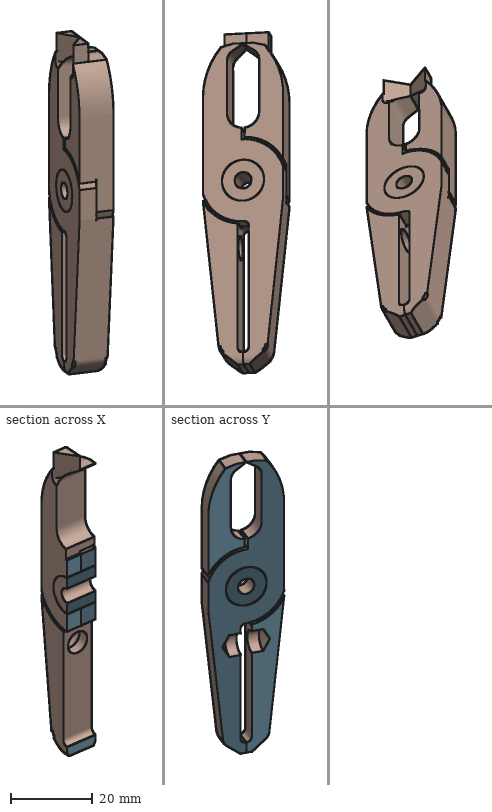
import cadquery as cq
import math


thickness = 9.0
width = 20.0
length = 86.0
half_width = width / 2
jaw_end_z = 39.05
handle_end_z = jaw_end_z - length

hub_radius = 10.5
recess_radius = 11.1
pin_radius = 5.25
pin_hole_radius = 2.1

jaw_arc_start_z = 21.7
jaw_arc_radius = width
tip_half_width = 5.5
jaw_slot_width = 8.0
jaw_slot_radius = jaw_slot_width / 2
jaw_slot_low_z = 17.5
jaw_roof_corner_z = 32.3
jaw_roof_apex_z = 34.9
jaw_roof_fillet_radius = 3.0
jaw_gap = 0.8

step_y = -0.35
step_top_z = 35.1
step_flat_half_width = 2.5

groove_half_width = 5.8
groove_bottom_y = -0.4
groove_end_z = 32.0

taper_start_z = -4.8
corner_x = 6.0
corner_z = -43.35
corner_radius = 2.6
corner_chamfer = 0.5
end_half_width = 1.55
end_round_radius = 2.6
end_round_height = 1.7
handle_slot_width = 2.8
handle_slot_radius = handle_slot_width / 2
handle_slot_end_z = -42.6
hub_fillet_radius = 1.2

spring_hole_radius = 3.0
spring_hole_z = -16.0
spring_hole_depth = 3.0
spring_hole_tip_depth = 1.7

front_y = -thickness / 2
back_y = thickness / 2
tool_margin = 0.9
jaw_arc_end_z = jaw_arc_start_z + math.sqrt(
    jaw_arc_radius**2 - (jaw_arc_radius - half_width + tip_half_width) ** 2
)


def plate(sketch, y_start, y_end):
    """Extrude an XZ outline from y_start to y_end."""
    return sketch.extrude(y_start - y_end).translate((0, y_start, 0))


def outline():
    return cq.Workplane("XZ")


def disc(radius, y_start, y_end):
    return plate(outline().circle(radius), y_start, y_end)


def left_jaw():
    """Full-thickness jaw on the -X side, with half of the jaw slot along its inner edge."""
    arc_centre_x = jaw_arc_radius - half_width
    mid_angle = math.asin((jaw_arc_end_z - jaw_arc_start_z) / jaw_arc_radius) / 2
    arc_mid = (
        arc_centre_x - jaw_arc_radius * math.cos(mid_angle),
        jaw_arc_start_z + jaw_arc_radius * math.sin(mid_angle),
    )
    slot_diagonal = jaw_slot_radius * math.sqrt(0.5)
    gap_x = -jaw_gap / 2
    slot_gap_z = jaw_slot_low_z - math.sqrt(jaw_slot_radius**2 - gap_x**2)
    sketch = (
        outline()
        .moveTo(-half_width, 0)
        .lineTo(-half_width, jaw_arc_start_z)
        .threePointArc(arc_mid, (-tip_half_width, jaw_arc_end_z))
        .lineTo(-tip_half_width, jaw_end_z)
        .lineTo(0, jaw_end_z)
        .lineTo(0, jaw_roof_apex_z)
        .lineTo(-jaw_slot_radius, jaw_roof_corner_z)
        .lineTo(-jaw_slot_radius, jaw_slot_low_z)
        .threePointArc(
            (-slot_diagonal, jaw_slot_low_z - slot_diagonal),
            (gap_x, slot_gap_z),
        )
        .lineTo(gap_x, 0)
        .close()
    )
    roof_corner = cq.NearestToPointSelector((-jaw_slot_radius, 0, jaw_roof_corner_z))
    jaw = plate(sketch, front_y, back_y)
    return jaw.edges("|Y").edges(roof_corner).fillet(jaw_roof_fillet_radius)


def corner_chamfer_tool():
    """Wedge that follows the rounded outer corner of the right handle on its front edge."""
    taper_angle = math.atan2(half_width - corner_x, taper_start_z - corner_z)
    slope_angle = math.atan2(corner_x - end_half_width, corner_z - handle_end_z)
    turn = slope_angle - taper_angle
    middle_angle = (slope_angle + taper_angle) / 2
    centre_distance = corner_radius / math.cos(turn / 2)
    centre_x = corner_x - centre_distance * math.cos(middle_angle)
    centre_z = corner_z + centre_distance * math.sin(middle_angle)
    return (
        cq.Workplane("XY")
        .moveTo(corner_radius - corner_chamfer - tool_margin, front_y - tool_margin)
        .lineTo(corner_radius + tool_margin, front_y - tool_margin)
        .lineTo(corner_radius + tool_margin, front_y + corner_chamfer + tool_margin)
        .close()
        .revolve(math.degrees(turn), (0, 0), (0, 1))
        .rotate((0, 0, 0), (0, 1, 0), math.degrees(taper_angle))
        .translate((centre_x, 0, centre_z))
    )


def end_round_tool():
    """Removes the front and back edges of the handle end along a shallow arc."""
    round_start_z = handle_end_z + end_round_height
    mid_angle = math.asin(end_round_height / end_round_radius) / 2
    inset = end_round_radius - math.sqrt(end_round_radius**2 - end_round_height**2)
    arc_mid = (
        front_y + end_round_radius * (1 - math.cos(mid_angle)),
        round_start_z - end_round_radius * math.sin(mid_angle),
    )
    front_tool = (
        cq.Workplane("YZ")
        .moveTo(front_y, round_start_z)
        .threePointArc(arc_mid, (front_y + inset, handle_end_z))
        .lineTo(front_y + inset, handle_end_z - tool_margin)
        .lineTo(front_y - tool_margin, handle_end_z - tool_margin)
        .lineTo(front_y - tool_margin, round_start_z)
        .close()
        .extrude(half_width, both=True)
    )
    return front_tool.union(front_tool.mirror("XZ"))


def right_handle():
    """Full-thickness tapered handle on the +X side, with half of the handle slot."""
    slot_diagonal = handle_slot_radius * math.sqrt(0.5)
    sketch = (
        outline()
        .moveTo(handle_slot_radius, 0)
        .lineTo(half_width, 0)
        .lineTo(half_width, taper_start_z)
        .lineTo(corner_x, corner_z)
        .lineTo(end_half_width, handle_end_z)
        .lineTo(0, handle_end_z)
        .lineTo(0, handle_slot_end_z - handle_slot_radius)
        .threePointArc(
            (slot_diagonal, handle_slot_end_z - slot_diagonal),
            (handle_slot_radius, handle_slot_end_z),
        )
        .close()
    )
    corner_edge = cq.NearestToPointSelector((corner_x, 0, corner_z))
    handle = plate(sketch, front_y, back_y).edges("|Y").edges(corner_edge).fillet(corner_radius)
    chamfer_tool = corner_chamfer_tool()
    return handle.cut(chamfer_tool).cut(chamfer_tool.mirror("XZ")).cut(end_round_tool())


def spring_hole_tool():
    """Blind hole with a conical tip in the inner wall of the right handle."""
    shoulder_x = handle_slot_radius + spring_hole_depth
    return (
        cq.Workplane("XY", origin=(0, 0, spring_hole_z))
        .polyline(
            [
                (0, 0),
                (0, spring_hole_radius),
                (shoulder_x, spring_hole_radius),
                (shoulder_x + spring_hole_tip_depth, 0),
            ]
        )
        .close()
        .revolve(360, (0, 0), (1, 0))
    )


def crossing_half():
    """Left jaw and right handle joined by a half-thickness hub in front of the lap plane y = 0."""
    band = cq.Workplane("XY").box(width, 2 * thickness, 4 * hub_radius)
    hub = disc(hub_radius, front_y, 0).intersect(band)
    hub_handle_corner = (
        handle_slot_radius,
        front_y / 2,
        -math.sqrt(hub_radius**2 - handle_slot_radius**2),
    )
    return (
        left_jaw()
        .union(right_handle())
        .cut(disc(recess_radius, 0, back_y))
        .union(hub)
        .edges(cq.NearestToPointSelector(hub_handle_corner))
        .fillet(hub_fillet_radius)
        .cut(disc(pin_radius, front_y, back_y))
        .cut(spring_hole_tool())
    )


def rear_step_tool():
    """Removes the rear of the jaw tips above a low flat top with sloping shoulders."""
    above_z = jaw_end_z + tool_margin
    sketch = outline().polyline(
        [
            (-tip_half_width, jaw_arc_end_z),
            (-step_flat_half_width, step_top_z),
            (step_flat_half_width, step_top_z),
            (tip_half_width, jaw_arc_end_z),
            (tip_half_width, above_z),
            (-tip_half_width, above_z),
        ]
    ).close()
    return plate(sketch, step_y, back_y)


def groove_tool():
    """V groove open to the front, each side running out below in a cone of the same slope."""
    groove = (
        cq.Workplane("XY", origin=(0, 0, groove_end_z))
        .polyline([(-groove_half_width, front_y), (0, groove_bottom_y), (groove_half_width, front_y)])
        .close()
        .extrude(jaw_end_z + tool_margin - groove_end_z)
    )
    cone_radius = groove_half_width - jaw_slot_radius
    cone_depth = cone_radius * (groove_bottom_y - front_y) / groove_half_width
    for side in (-1, 1):
        cone = cq.Solid.makeCone(
            cone_radius,
            0,
            cone_depth,
            pnt=cq.Vector(side * jaw_slot_radius, front_y, groove_end_z),
            dir=cq.Vector(0, 1, 0),
        )
        groove = groove.union(cq.Workplane(obj=cone))
    return groove


def pliers_halves():
    """The two halves, half a turn apart about Z, with the tips shaped alike."""
    halves = []
    for turn in (0, 180):
        half = crossing_half().rotate((0, 0, 0), (0, 0, 1), turn)
        half = half.cut(rear_step_tool()).cut(groove_tool())
        halves.append(half.val())
    return halves


def pivot_pin():
    """Hollow pin, flush with both faces."""
    sketch = outline().circle(pin_radius).circle(pin_hole_radius)
    return plate(sketch, front_y, back_y).val()


result = cq.Compound.makeCompound([*pliers_halves(), pivot_pin()])